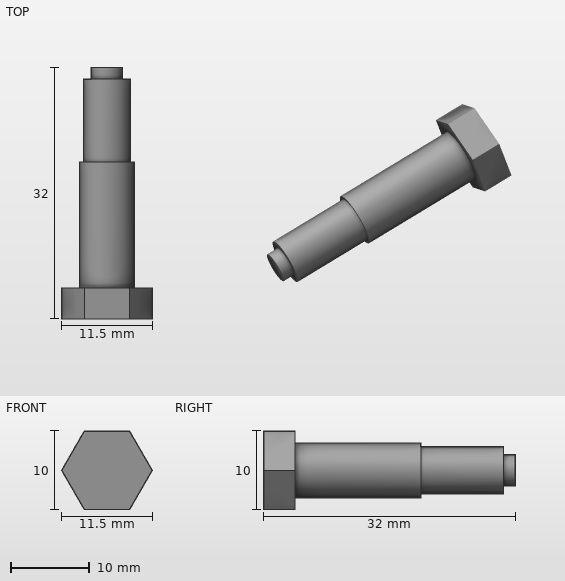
import cadquery as cq
import math

across_flats = 10.0
across_corners = across_flats / math.cos(math.pi / 6)
head_height = 4.0

shoulder_diameter = 7.0
shoulder_length = 16.0
thread_diameter = 6.0
tip_diameter = 4.0
tip_length = 1.5
total_length = 32.0
thread_length = total_length - head_height - shoulder_length - tip_length


def add_cylinder(body, diameter, length):
    """Extend the body along +Y with a cylinder on its end face."""
    return body.faces(">Y").workplane(origin=(0, 0, 0)).circle(diameter / 2).extrude(length)


result = cq.Workplane("XZ").polygon(6, across_corners).extrude(-head_height)

result = add_cylinder(result, shoulder_diameter, shoulder_length)
result = add_cylinder(result, thread_diameter, thread_length)
result = add_cylinder(result, tip_diameter, tip_length)